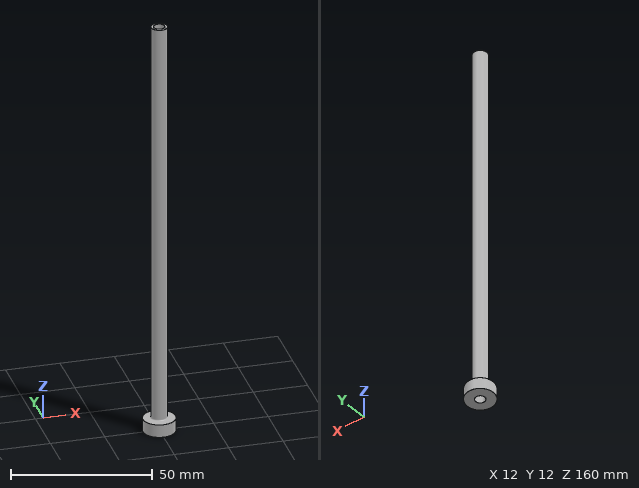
import cadquery as cq

TOTAL_LENGTH = 160.0
HEAD_DIAMETER = 12.0
HEAD_HEIGHT = 5.0
SHAFT_DIAMETER = 6.0
BORE_DIAMETER = 4.0
ROOT_FILLET_RADIUS = 0.5


def sleeve_profile():
    """Half section of the headed sleeve, in the XZ plane beside the Z axis."""
    bore_radius = BORE_DIAMETER / 2
    shaft_radius = SHAFT_DIAMETER / 2
    head_radius = HEAD_DIAMETER / 2
    fillet_outer_radius = shaft_radius + ROOT_FILLET_RADIUS
    fillet_top = HEAD_HEIGHT + ROOT_FILLET_RADIUS

    return (
        cq.Workplane("XZ")
        .moveTo(bore_radius, 0)
        .lineTo(head_radius, 0)
        .lineTo(head_radius, HEAD_HEIGHT)
        .lineTo(fillet_outer_radius, HEAD_HEIGHT)
        .radiusArc((shaft_radius, fillet_top), ROOT_FILLET_RADIUS)
        .lineTo(shaft_radius, TOTAL_LENGTH)
        .lineTo(bore_radius, TOTAL_LENGTH)
        .close()
    )


result = sleeve_profile().revolve(360, (0, 0, 0), (0, 1, 0))